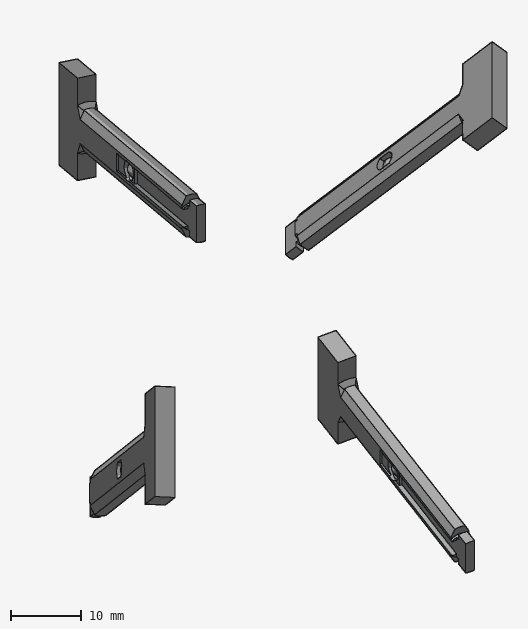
import cadquery as cq
import math

length = 42.55
thickness = 2.95
half_thickness = thickness / 2
head_height = 15.9
head_length = 5.95

bar_diameter = 6.6
bar_radius = bar_diameter / 2
bar_end = 39.5
flat_half_height = 1.87
bevel_depth = 0.65
root_length = 0.85
root_cone_length = 0.75
root_radius = 4.0

neck_radius = 2.05
tongue_start = 39.9
tongue_thickness = 1.45
tip_start = 40.4
tip_radius = 2.95

slot_start = 18.48
slot_step = 23.65
slot_height = 2.72
shallow_depth = 0.3
deep_depth = (thickness - tongue_thickness) / 2

hole_x = 21.8
hole_diameter = 3.0
ball_radius = 1.25
pin_diameter = 0.6
pin_embed = 0.43
ledge_gap = 2.4
ledge_front = -0.95
ledge_slope_depth = 0.3


def box_between(x_start, x_end, y_start, y_end, height):
    """Box centred on Z = 0 between the given X and Y limits."""
    return cq.Workplane("XY").box(
        x_end - x_start, y_end - y_start, height, centered=(False, False, True)
    ).translate((x_start, y_start, 0))


def turned_bar():
    """Bar, root cone, neck and tip turned about X and flattened to thickness."""
    cone_end = head_length + root_cone_length
    outline = [
        (head_length, 0),
        (head_length, root_radius),
        (cone_end, bar_radius),
        (bar_end, bar_radius),
        (bar_end, neck_radius),
        (tip_start, neck_radius),
        (tip_start, tip_radius),
        (length, tip_radius),
        (length, 0),
    ]
    turned = cq.Workplane("XY").polyline(outline).close().revolve(360, (0, 0, 0), (1, 0, 0))
    thick_part = box_between(head_length, tongue_start, -half_thickness, half_thickness, head_height)
    tongue = box_between(tongue_start, length, -tongue_thickness / 2, tongue_thickness / 2, head_height)
    return turned.intersect(thick_part.union(tongue))


def bevel_cutter():
    """Cutter for the upper front edge, sloping up to the full section at the root."""
    inner_y = half_thickness - bevel_depth
    inner_z = math.sqrt(bar_radius**2 - inner_y**2)
    slope = (inner_z - flat_half_height) / bevel_depth
    root_rise = math.sqrt(root_radius**2 - half_thickness**2) - flat_half_height
    outer_y = half_thickness + bevel_depth
    near_z = flat_half_height + slope * half_thickness
    far_z = flat_half_height - slope * bevel_depth
    triangle = [(0, near_z), (-outer_y, far_z), (-outer_y, near_z)]
    bevel_start = head_length + root_length

    straight = (
        cq.Workplane("YZ", origin=(bevel_start, 0, 0))
        .polyline(triangle).close()
        .extrude(bar_end - bevel_start)
    )
    raised = [(y, z + root_rise) for y, z in triangle]
    runout = (
        cq.Workplane("YZ", origin=(head_length, 0, 0))
        .polyline(raised).close()
        .workplane(offset=root_length)
        .polyline(triangle).close()
        .loft(ruled=True)
    )
    return straight.union(runout)


def bevel_edges(body):
    """Bevel all four long edges of the bar."""
    front_top = bevel_cutter()
    front_bottom = front_top.mirror("XY")
    for cutter in (front_top, front_bottom):
        body = body.cut(cutter).cut(cutter.mirror("XZ"))
    return body


def cut_slot(body):
    """Shallow pocket around the ball, then the deeper channel to the tongue."""
    shallow = box_between(
        slot_start, slot_step, -half_thickness, -half_thickness + shallow_depth, slot_height
    )
    deep = box_between(
        slot_step, tongue_start, -half_thickness, -half_thickness + deep_depth, slot_height
    )
    return body.cut(shallow).cut(deep)


def upper_ledge(hole):
    """Segment of the hole left solid above the ball, with a sloped front."""
    hole_radius = hole_diameter / 2
    profile = [
        (ledge_front, hole_radius),
        (ledge_front + ledge_slope_depth, ledge_gap / 2),
        (half_thickness, ledge_gap / 2),
        (half_thickness, hole_radius),
    ]
    bar_across = (
        cq.Workplane("YZ", origin=(hole_x, 0, 0)).polyline(profile).close().extrude(hole_radius, both=True)
    )
    return bar_across.intersect(hole)


def add_ball(body):
    """Through hole with the ball joined to its wall by a pin and two ledges."""
    hole = (
        cq.Workplane("XZ")
        .center(hole_x, 0)
        .circle(hole_diameter / 2)
        .extrude(half_thickness, both=True)
    )
    ball = cq.Workplane("XY").sphere(ball_radius).rotate((0, 0, 0), (1, 0, 0), 90)
    ball = ball.translate((hole_x, 0, 0))
    pin_start = hole_x - hole_diameter / 2 - pin_embed
    pin = (
        cq.Workplane("YZ", origin=(pin_start, 0, 0))
        .circle(pin_diameter / 2)
        .extrude(hole_x - pin_start)
    )
    ledge = upper_ledge(hole)
    opening = hole.cut(ledge).cut(ledge.mirror("XY"))
    return body.cut(opening).union(pin).union(ball)


head = box_between(0, head_length, -half_thickness, half_thickness, head_height)
bar = cut_slot(bevel_edges(turned_bar()))
result = add_ball(head.union(bar))